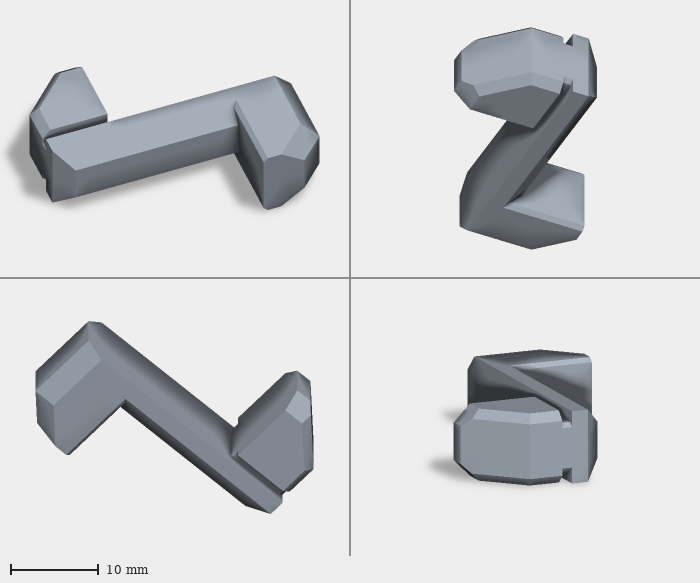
import cadquery as cq

length = 30.0
height = 8.5
hook_reach = 12.0
foot_reach = 11.25
end_width = 8.0

large_bevel = 2.0
plate_bevel = 2.05
small_bevel = 1.02
edge_break = 0.5

plate_thickness = 4.02
hook_corner = 3.0
foot_corner = 6.0
neck_length = 1.2
neck_height = 5.8


def prism(points, prism_height):
    """Extrude an XY outline, centred on the Z = 0 plane."""
    return cq.Workplane("XY").polyline(points).close().extrude(prism_height / 2, both=True)


def make_plate():
    """Upright plate whose +X face is bevelled along its top, bottom and -Y edges."""
    plate_end = length - large_bevel
    plate = cq.Workplane("XY").box(plate_thickness, plate_end, height, centered=(False, False, True))
    return plate.faces(">X").edges("<Y or >Z or <Z").chamfer(plate_bevel)


def make_hook():
    """Hook at the +Y end, reaching toward +X, with its outer rim bevelled."""
    inner_y = length - end_width
    outline = [
        (0, inner_y),
        (hook_reach, inner_y),
        (hook_reach, length - hook_corner),
        (hook_reach - hook_corner, length),
        (0, length),
    ]
    hook = prism(outline, height)
    hook = hook.faces(">Y or >(1, 1, 0)").edges(">Z or <Z").chamfer(large_bevel)
    return hook.faces("<Y").edges("|X").chamfer(edge_break)


def make_foot():
    """Foot at the -Y end, reaching toward -X, with its outer rim bevelled."""
    tip_x = -foot_reach
    outline = [
        (-neck_length, 0),
        (-neck_length, end_width),
        (tip_x, end_width),
        (tip_x, foot_corner),
        (tip_x + foot_corner, 0),
    ]
    foot = prism(outline, height).faces("<Y or <(1, 1, 0)").edges(">Z or <Z").chamfer(small_bevel)
    half_height = height / 2
    tip_profile = [
        (-neck_length, half_height),
        (tip_x + large_bevel, half_height),
        (tip_x, half_height - large_bevel),
        (tip_x, large_bevel - half_height),
        (tip_x + large_bevel, -half_height),
        (-neck_length, -half_height),
    ]
    tip_bevels = cq.Workplane("XZ").polyline(tip_profile).close().extrude(-end_width)
    return foot.intersect(tip_bevels)


def make_neck():
    """Lower neck joining the foot to the plate, with its -Y edges broken."""
    neck = cq.Workplane("XY").box(neck_length, end_width, neck_height, centered=(False, False, True))
    neck = neck.faces("<Y").edges("|X").chamfer(edge_break)
    return neck.translate((-neck_length, 0, 0))


result = make_plate().union(make_hook()).union(make_foot()).union(make_neck())